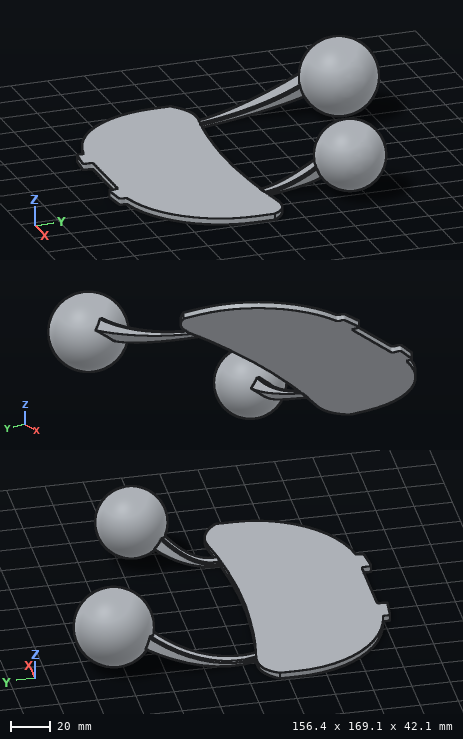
import cadquery as cq
import math

plate_width = 156.4
half_width = plate_width / 2
plate_thickness = 3.4
side_end_y = -10.0
front_corner_radius = 54.5

crest_x = 62.9
crest_y = 8.5
shoulder_x = 52.2
shoulder_y = 7.0
dip_mid_x = 25.4
dip_mid_y = 3.5
dip_y = 2.4
rear_edge_drop = 0.8

tab_inner_x = 19.0
tab_outer_x = 32.1
tab_inner_tip_y = -69.0
tab_outer_tip_y = -67.6
notch_y = -63.7
tab_corner_radius = 1.2

ball_height = 21.5
large_ball_radius = 20.6
large_ball_center = (-45.1, 79.6, ball_height)
small_ball_radius = 18.6
small_ball_center = (58.0, 48.2, ball_height)

arm_chamfer = 0.8
large_arm_stations = [
    ((-54.6, 5.0, 1.4), -18, 0, 0, 5.0, 2.4),
    ((-59.0, 29.5, 3.4), 0, 14, 4, 8.0, 3.0),
    ((-57.2, 49.9, 9.8), 15, 24, 12, 10.5, 5.0),
    ((-51.2, 67.8, 19.5), 28, 30, 16, 12.5, 8.1),
]
small_arm_stations = [
    ((44.5, 4.2, 1.4), -10, 0, 0, 6.5, 2.4),
    ((43.1, 16.7, 3.2), 5, 18, 5, 7.3, 2.7),
    ((45.3, 27.4, 7.8), 22, 32, 15, 8.3, 5.0),
    ((50.4, 38.5, 16.0), 35, 42, 20, 8.5, 7.5),
]


def make_plate():
    """Flat plate with large round front corners and a lobed rear edge."""
    arc_center_x = half_width - front_corner_radius
    root_angle = math.acos((tab_outer_x - arc_center_x) / front_corner_radius)
    tab_root_y = side_end_y - front_corner_radius * math.sin(root_angle)
    arc_mid_x = arc_center_x + front_corner_radius * math.cos(root_angle / 2)
    arc_mid_y = side_end_y - front_corner_radius * math.sin(root_angle / 2)

    rear_half = [(crest_x, crest_y), (shoulder_x, shoulder_y), (dip_mid_x, dip_mid_y)]
    rear_edge = [
        *rear_half,
        (0, dip_y),
        *[(-x, y) for x, y in reversed(rear_half)],
        (-half_width, 0),
    ]
    plate = (
        cq.Workplane("XY")
        .moveTo(-half_width, 0)
        .lineTo(-half_width, side_end_y)
        .threePointArc((-arc_mid_x, arc_mid_y), (-tab_outer_x, tab_root_y))
        .lineTo(-tab_outer_x, tab_outer_tip_y)
        .lineTo(-tab_inner_x, tab_inner_tip_y)
        .lineTo(-tab_inner_x, notch_y)
        .lineTo(tab_inner_x, notch_y)
        .lineTo(tab_inner_x, tab_inner_tip_y)
        .lineTo(tab_outer_x, tab_outer_tip_y)
        .lineTo(tab_outer_x, tab_root_y)
        .threePointArc((arc_mid_x, arc_mid_y), (half_width, side_end_y))
        .lineTo(half_width, 0)
        .spline(rear_edge, includeCurrent=True)
        .close()
        .extrude(plate_thickness)
    )
    plate = plate.edges("|Z").edges(TabCornerSelector()).fillet(tab_corner_radius)
    return plate.cut(make_rear_slope())


class TabCornerSelector(cq.Selector):
    """Picks the edges at the front of the plate, at the roots and tips of the tabs."""

    def filter(self, edges):
        return [
            edge for edge in edges
            if edge.Center().y < side_end_y - front_corner_radius / 2
        ]


def make_rear_slope():
    """Wedge removed from the top so that it falls gently behind the crease."""
    return (
        cq.Workplane("YZ")
        .polyline([
            (0, plate_thickness),
            (crest_y, plate_thickness - rear_edge_drop),
            (2 * crest_y, plate_thickness - 2 * rear_edge_drop),
            (2 * crest_y, plate_thickness),
        ])
        .close()
        .extrude(half_width, both=True)
    )


def arm_section(center, heading, pitch, roll, width, height):
    """Closed rectangle across an arm, with both top corners bevelled."""
    turn, climb, bank = (math.radians(angle) for angle in (heading, pitch, roll))
    forward = cq.Vector(
        math.sin(turn) * math.cos(climb),
        math.cos(turn) * math.cos(climb),
        math.sin(climb),
    )
    level = cq.Vector(math.cos(turn), -math.sin(turn), 0)
    across = level * math.cos(bank) - level.cross(forward) * math.sin(bank)
    section = cq.Plane(origin=center, xDir=across, normal=forward * -1)
    side = width / 2
    top = height / 2
    corners = [
        (-side, -top),
        (side, -top),
        (side, top - arm_chamfer),
        (side - arm_chamfer, top),
        (-side + arm_chamfer, top),
        (-side, top - arm_chamfer),
    ]
    return cq.Wire.makePolygon([section.toWorldCoords(corner) for corner in corners], close=True)


def make_arm(stations):
    """Smooth arm that rises and widens from the plate to its ball."""
    return cq.Solid.makeLoft([arm_section(*station) for station in stations])


def make_ball(center, radius):
    return cq.Workplane("XY").sphere(radius).translate(center)


balls = [
    make_ball(large_ball_center, large_ball_radius),
    make_ball(small_ball_center, small_ball_radius),
]

holder = make_plate()
for stations in (large_arm_stations, small_arm_stations):
    holder = holder.union(cq.Workplane(make_arm(stations)))
for ball in balls:
    holder = holder.cut(ball)

result = cq.Compound.makeCompound([holder.val(), *[ball.val() for ball in balls]])